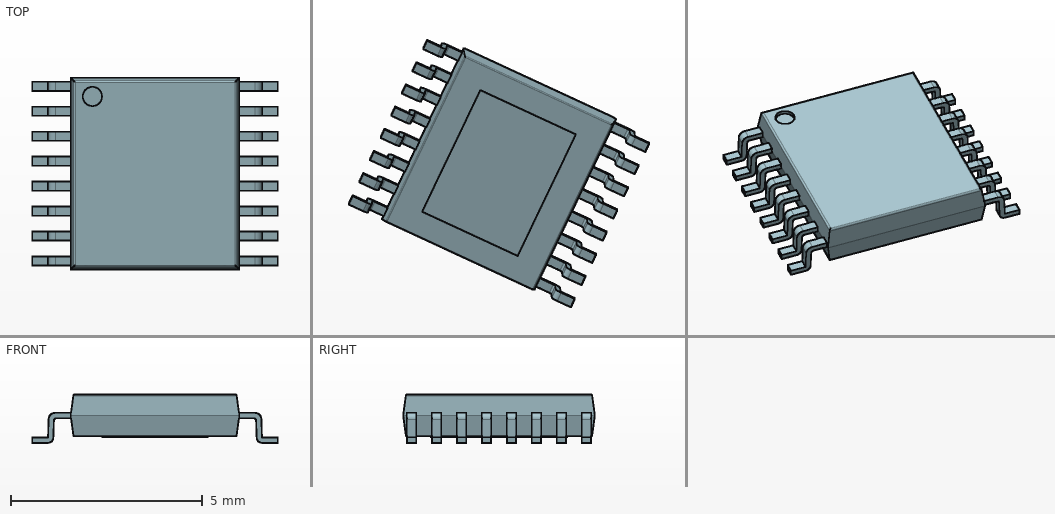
import cadquery as cq
import math

overall_span = 6.4
overall_height = 1.27

body_width = 4.4
body_length = 5.0
body_bottom = 0.17
parting_height = 0.72
taper_inset = 0.075
top_fillet_radius = 0.05
bottom_fillet_radius = 0.03

pad_width = 2.75
pad_length = 3.56
pad_drop = 0.025

dimple_diameter = 0.5
dimple_depth = 0.1
dimple_x = -1.63
dimple_y = 2.01

leads_per_side = 8
lead_pitch = 0.65
lead_width = 0.245
lead_thickness = 0.145
lead_top = 0.79
shank_outer_x = 2.775
shank_lean = 0.015
shoulder_outer_radius = 0.175
shoulder_inner_radius = 0.06
foot_outer_radius = 0.15
lead_embed = 0.3


def tapered_half(end_z):
    """Loft from the parting outline to the smaller outline at end_z."""
    return (
        cq.Workplane("XY", origin=(0, 0, parting_height))
        .rect(body_width, body_length)
        .workplane(offset=end_z - parting_height)
        .rect(body_width - 2 * taper_inset, body_length - 2 * taper_inset)
        .loft(ruled=True)
    )


def make_body():
    upper = tapered_half(overall_height).faces(">Z").edges().fillet(top_fillet_radius)
    lower = tapered_half(body_bottom).faces("<Z").edges().fillet(bottom_fillet_radius)
    return upper.union(lower)


def make_pad():
    return (
        cq.Workplane("XY", origin=(0, 0, body_bottom - pad_drop))
        .rect(pad_width, pad_length)
        .extrude(2 * pad_drop)
    )


def make_dimple():
    return (
        cq.Workplane("XY", origin=(dimple_x, dimple_y, overall_height))
        .circle(dimple_diameter / 2)
        .extrude(-dimple_depth)
    )


def make_lead():
    """One lead on the +X side, centred on Y = 0, with its foot resting on Z = 0."""
    tip_x = overall_span / 2
    root_x = body_width / 2 - lead_embed
    shank_inner_x = shank_outer_x - lead_thickness
    lead_underside = lead_top - lead_thickness
    outer_bend_x = shank_outer_x - shoulder_outer_radius
    outer_bend_z = lead_top - shoulder_outer_radius
    inner_bend_x = shank_inner_x - shoulder_inner_radius
    inner_bend_z = lead_underside - shoulder_inner_radius
    diagonal = math.sqrt(0.5)
    heel_outer_x = shank_outer_x + shank_lean
    heel_inner_x = shank_inner_x + shank_lean
    foot_center_x = heel_inner_x + foot_outer_radius

    def shoulder_midpoint(center_x, center_z, radius):
        return (center_x + radius * diagonal, center_z + radius * diagonal)

    outer_midpoint = shoulder_midpoint(outer_bend_x, outer_bend_z, shoulder_outer_radius)
    inner_midpoint = shoulder_midpoint(inner_bend_x, inner_bend_z, shoulder_inner_radius)
    foot_midpoint = (
        foot_center_x - foot_outer_radius * diagonal,
        foot_outer_radius - foot_outer_radius * diagonal,
    )
    return (
        cq.Workplane("XZ")
        .moveTo(root_x, lead_top)
        .lineTo(outer_bend_x, lead_top)
        .threePointArc(outer_midpoint, (shank_outer_x, outer_bend_z))
        .lineTo(heel_outer_x, lead_thickness)
        .lineTo(tip_x, lead_thickness)
        .lineTo(tip_x, 0)
        .lineTo(foot_center_x, 0)
        .threePointArc(foot_midpoint, (heel_inner_x, foot_outer_radius))
        .lineTo(shank_inner_x, inner_bend_z)
        .threePointArc(inner_midpoint, (inner_bend_x, lead_underside))
        .lineTo(root_x, lead_underside)
        .close()
        .extrude(lead_width / 2, both=True)
    )


def add_leads(body):
    right_lead = make_lead()
    left_lead = right_lead.mirror("YZ")
    for index in range(leads_per_side):
        lead_y = (index - (leads_per_side - 1) / 2) * lead_pitch
        for lead in (right_lead, left_lead):
            body = body.union(lead.translate((0, lead_y, 0)))
    return body


package = make_body().union(make_pad()).cut(make_dimple())
result = add_leads(package)